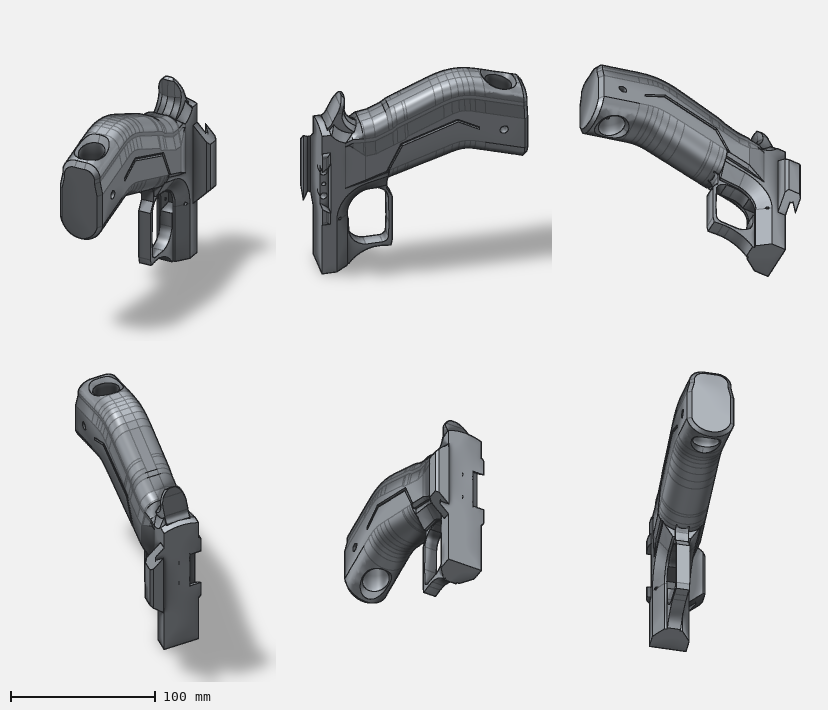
import math

import cadquery as cq


total_width = 42.25
total_length = 152.65
grip_half = 16.65
frame_half = 13.0
well_half = 6.4
guard_half = 4.64
horn_half = 8.8

hook_reach = 6.16
grip_end = total_length - hook_reach
grip_start = 16.6
frame_back = 47.2
ramp_end = 30.2

shoulder_half = 14.7
crown_half = 3.7
shoulder_band = 3.0
belly_bevel = 2.8
belly_half = 14.5
end_chamfer = 2.9
chin_depth = 4.5
front_rise = 9.5
front_drop = 2.6
chin_end = 29.0
flank_start = 19.5
neck_corner = 21.8
least_edge = 0.15

bore_diameter = 18.41
bore_depth = 128.9
rim_half_width = 15.0
rim_half_length = 12.2
rim_sink = 4.0
grip_pin_diameter = 5.84
grip_pin_height = 102.2
frame_pin_diameter = 2.0
frame_pin_depth = 13.2
frame_pin_height = 43.0
clamp_screw_diameter = 5.0
clamp_pilot_diameter = 3.0
clamp_hole_spacing = 10.0
clamp_hole_depth = 8.0

clamp_middle = 70.7
clamp_half_height = 30.2
clamp_plate = 5.9
hook_tip = total_width - grip_half
hook_throat_x = 20.35
hook_throat_depth = -2.0
hook_lead = 0.8
hook_edge_x = 16.1
hook_corner = 1.9
pad_half = 14.9
pad_flat_depth = 2.8
pad_round = 3.4
pad_root = 6.5
pad_gap_front = 15.6
pad_gap_back = 20.5

groove_depth = 0.8


def at(depth, height):
    """Point of the YZ sketch plane for a depth behind the front face."""
    return (-depth, height)


def side_sketch(x=0.0):
    return cq.Workplane("YZ", origin=(x, 0, 0))


def side_polygon(points, x=0.0):
    return side_sketch(x).polyline([at(*p) for p in points]).close()


def bend(depth, begin, end, height, rise, fall):
    """Height of a straight climb that rolls over parabolically into a straight descent."""
    if depth <= begin:
        return height + rise * (depth - begin)
    run = min(depth, end) - begin
    rolled = height + rise * run + (fall - rise) * run**2 / (2 * (end - begin))
    return rolled + fall * max(depth - end, 0.0)


def ramp(depth, begin, end):
    """Fraction that goes linearly from 0 to 1 between two depths."""
    return min(max((depth - begin) / (end - begin), 0.0), 1.0)


rear_fall = -0.333
upper_rise = 0.42
level_depth = 37.5
crown_step = 1.3
shoulder_step = 1.5
step_front = 50.0
crown_leveling = 0.5
side_leveling = 0.8


def leveling(depth):
    """How far the rising upper edges would drop below level ahead of the grip's knee."""
    return upper_rise * max(level_depth - depth, 0.0)


def crown_line(depth):
    step = crown_step * (1 - ramp(depth, frame_back, step_front))
    chin = chin_depth * (1 - ramp(depth, neck_corner, chin_end))
    chin += front_drop * (1 - ramp(depth, grip_start, neck_corner))
    lift = crown_leveling * leveling(depth)
    return bend(depth, 80.6, 115.8, 138.01, upper_rise, rear_fall) - step - chin + lift


def shoulder_line(depth):
    step = shoulder_step * (1 - ramp(depth, step_front, 53.1))
    step += front_drop * (1 - ramp(depth, grip_start, neck_corner))
    return bend(depth, 86.2, 110.0, 131.3, upper_rise, rear_fall) - step + leveling(depth)


def side_top_line(depth):
    step = shoulder_step * (1 - ramp(depth, 58.6, 60.4))
    lift = front_rise * (1 - ramp(depth, flank_start, ramp_end)) + side_leveling * leveling(depth)
    line = bend(depth, 92.0, 105.0, 121.2, upper_rise, rear_fall) - step + lift
    return min(line, shoulder_line(depth) - shoulder_band - least_edge)


def side_bottom_line(depth):
    return bend(depth, 92.1, 108.9, 96.2, 0.323, rear_fall)


def belly_line(depth):
    return bend(depth, 94.4, 109.2, 82.3, 0.305, rear_fall)


def grip_section(depth, rounded_belly, inset=0.0):
    """Closed cross-section of the grip at one depth."""
    spread = ramp(depth, grip_start, ramp_end)
    side = frame_half + (grip_half - frame_half) * spread - inset
    shoulder = frame_half + (shoulder_half - frame_half) * spread - inset
    edge = shoulder_line(depth)
    crown = crown_line(depth) - inset
    side_top = side_top_line(depth)
    bevel_bottom = side_bottom_line(depth) - belly_bevel
    side_bottom = bevel_bottom + max(belly_bevel * spread, least_edge)
    arc_x = crown_half + (shoulder - crown_half) * math.sqrt(0.5)
    arc_z = edge + (crown - edge) * math.sqrt(0.5)
    sketch = (
        cq.Workplane("XZ", origin=(0, -depth, 0))
        .moveTo(-crown_half, crown)
        .lineTo(crown_half, crown)
        .threePointArc((arc_x, arc_z), (shoulder, edge))
        .lineTo(shoulder, edge - shoulder_band)
        .lineTo(side, side_top)
        .lineTo(side, side_bottom)
    )
    if rounded_belly:
        sketch = sketch.threePointArc((0, belly_line(depth) + inset), (-side, side_bottom))
    else:
        bevel_half = frame_half + (belly_half - frame_half) * spread
        sketch = (
            sketch.lineTo(bevel_half, bevel_bottom)
            .lineTo(-bevel_half, bevel_bottom)
            .lineTo(-side, side_bottom)
        )
    return (
        sketch.lineTo(-side, side_top)
        .lineTo(-shoulder, edge - shoulder_band)
        .lineTo(-shoulder, edge)
        .threePointArc((-arc_x, arc_z), (-crown_half, crown))
        .close()
        .val()
    )


def grip():
    front_depths = [grip_start, flank_start, neck_corner, chin_end, ramp_end, level_depth, frame_back]
    rear_depths = [frame_back, step_front, 53.1, 58.6, 60.4, 80.6, 86.2, 92.0, 97.0, 101.0, 105.0]
    rear_depths += [108.7, 115.8]
    front = [grip_section(d, False) for d in front_depths]
    rear = [grip_section(d, True) for d in rear_depths + [grip_end - end_chamfer]]
    rear.append(grip_section(grip_end, True, end_chamfer))
    front_solid = cq.Solid.makeLoft(front, True)
    rear_solid = cq.Solid.makeLoft(rear, True)
    return cq.Workplane(front_solid).union(cq.Workplane(rear_solid))


frame_shoulder = 115.2
frame_crown = 118.0
well_top = 82.0
neck_bottom = 75.0
well_bend = 42.6
well_back = 19.8
neck_front = 6.2
horn_tip = 140.1


def well_outline(x, front, arc_start, arc_middle, arc_end, back):
    """Front part of the frame down to its foot, ending at the arch over the trigger."""
    return (
        side_sketch(x)
        .moveTo(0, 0)
        .lineTo(*at(front, 0))
        .lineTo(*at(front, arc_start))
        .threePointArc(at(*arc_middle), at(*arc_end))
        .lineTo(*at(frame_back, back))
        .lineTo(*at(frame_back, well_top))
        .lineTo(0, well_top)
        .close()
    )


def outer_well(x):
    return well_outline(x, 10.6, well_bend, (16.3, 60.5), (31.5, 70.6), 74.3)


def inner_well(x):
    return well_outline(x, well_back, well_bend, (24.0, 55.3), (32.8, 61.0), 62.3)


def neck_outline(x, front_top, arc_start, arc_middle, arc_end):
    """Top of the frame, cut away behind by the sweep up to the horn."""
    return (
        side_sketch(x)
        .moveTo(0, neck_bottom)
        .lineTo(*at(arc_end[0], neck_bottom))
        .lineTo(*at(*arc_end))
        .threePointArc(at(*arc_middle), at(*arc_start))
        .lineTo(*at(neck_front, front_top))
        .lineTo(0, front_top)
        .close()
    )


def outer_neck(x):
    return neck_outline(x, frame_shoulder, (7.0, 114.4), (12.1, 109.2), (20.0, 106.3))


def inner_neck(x):
    return neck_outline(x, 116.6, (9.4, 120.7), (14.9, 114.8), (22.3, 111.5))


def both_sides(half):
    return half.union(half.mirror("YZ"))


def flared(outer, inner, inner_half):
    """Full-width core with its edges sloping out to a larger, narrower outline."""
    core = outer(0).extrude(frame_half)
    slope = cq.Solid.makeLoft([inner(inner_half).val(), outer(frame_half).val()], True)
    spine = inner(0).extrude(inner_half)
    return both_sides(core.union(cq.Workplane(slope)).union(spine))


def frame():
    arched_top = (
        cq.Workplane("XZ")
        .moveTo(-frame_half, 100.0)
        .lineTo(frame_half, 100.0)
        .lineTo(frame_half, frame_shoulder)
        .threePointArc((0, frame_crown), (-frame_half, frame_shoulder))
        .close()
        .extrude(neck_front)
    )
    lower = flared(outer_well, inner_well, well_half)
    upper = flared(outer_neck, inner_neck, horn_half)
    return lower.union(upper).union(arched_top)


def horn_outline(x, forward):
    """Side outline of the horn with its hollow rear moved forward."""
    return (
        side_sketch(x)
        .moveTo(*at(4.8, 104.0))
        .lineTo(*at(4.8, 117.9))
        .threePointArc(at(6.8, 119.6), at(8.5, 122.6))
        .lineTo(*at(14.4, 134.5))
        .lineTo(*at(16.3, horn_tip))
        .lineTo(*at(18.6 - 0.5 * forward, 138.2))
        .lineTo(*at(18.9 - forward, 125.8))
        .threePointArc(at(22.3 - forward, 119.2 - 0.5 * forward), at(29.6 - forward, 115.0 - forward))
        .lineTo(*at(29.6 - forward, 104.0))
        .close()
        .val()
    )


def horn():
    shoulder = 127.0
    tip_half = 2.4
    edge_forward = 3.7
    middle_half = 5.0
    middle_forward = edge_forward * (middle_half / horn_half) ** 2
    halves = [(0.0, 0.0), (middle_half, middle_forward), (horn_half, edge_forward)]
    half = cq.Workplane(cq.Solid.makeLoft([horn_outline(x, f) for x, f in halves], True))
    leaf = (
        cq.Workplane("XZ")
        .moveTo(-horn_half, 0)
        .lineTo(horn_half, 0)
        .lineTo(horn_half, shoulder)
        .threePointArc((6.8, 135.5), (tip_half, horn_tip))
        .lineTo(-tip_half, horn_tip)
        .threePointArc((-6.8, 135.5), (-horn_half, shoulder))
        .close()
        .extrude(frame_back)
    )
    return both_sides(half).intersect(leaf)


def guard():
    outline = (
        side_sketch(-guard_half)
        .moveTo(*at(15.0, 0))
        .lineTo(*at(21.3, 0))
        .threePointArc(at(28.6, 7.0), at(39.0, 11.0))
        .lineTo(*at(44.3, 11.1))
        .lineTo(*at(51.2, 10.3))
        .lineTo(*at(52.2, 15.0))
        .lineTo(*at(52.2, 51.0))
        .lineTo(*at(48.2, 58.2))
        .lineTo(*at(48.2, 66.0))
        .threePointArc(at(49.0, 68.0), at(51.4, 69.6))
        .lineTo(*at(51.4, 78.0))
        .lineTo(*at(15.0, 78.0))
        .close()
    )
    return outline.extrude(2 * guard_half)


def guard_opening():
    """Finger opening through the full width of the frame."""
    return (
        side_sketch(-frame_half)
        .moveTo(*at(well_back, 38.5))
        .lineTo(*at(well_back, well_bend))
        .threePointArc(at(25.0, 55.9), at(35.0, 60.0))
        .lineTo(*at(41.6, 60.0))
        .threePointArc(at(47.2, 56.2), at(49.4, 49.9))
        .lineTo(*at(49.8, 30.0))
        .lineTo(*at(49.4, 18.0))
        .threePointArc(at(48.2, 15.4), at(45.2, 14.1))
        .lineTo(*at(33.3, 14.1))
        .threePointArc(at(24.6, 19.0), at(21.2, 27.0))
        .lineTo(*at(20.9, 38.0))
        .close()
        .extrude(2 * frame_half)
    )


def trigger_slot():
    """Slot that opens forward from the finger opening around the frame pin."""
    profile = [(9.0, 39.0), (24.0, 37.0), (24.0, 55.0), (9.0, 55.0)]
    return side_polygon(profile, -guard_half).extrude(2 * guard_half)


def hook():
    points = [
        (0, 0),
        (hook_throat_x - hook_lead, 0),
        (hook_throat_x, -hook_throat_depth),
        (hook_edge_x, hook_reach),
        (hook_tip - hook_corner, hook_reach),
        (hook_tip, hook_reach - hook_corner),
        (hook_tip, hook_corner - clamp_plate),
        (hook_tip - hook_corner, -clamp_plate),
        (0, -clamp_plate),
    ]
    bar = (
        cq.Workplane("XY", origin=(0, 0, clamp_middle - clamp_half_height))
        .polyline(points)
        .close()
        .extrude(2 * clamp_half_height)
    )
    tip_half_height = clamp_half_height - (hook_tip - frame_half)
    flank = [
        (0, clamp_middle - clamp_half_height),
        (frame_half, clamp_middle - clamp_half_height),
        (hook_tip, clamp_middle - tip_half_height),
        (hook_tip, clamp_middle + tip_half_height),
        (frame_half, clamp_middle + clamp_half_height),
        (0, clamp_middle + clamp_half_height),
    ]
    limits = cq.Workplane("XZ").polyline(flank).close().extrude(hook_reach + clamp_plate, both=True)
    return bar.intersect(limits)


def pads():
    """Rounded block on the -X side that the clamp channel divides into two pads."""
    block_depth = pad_flat_depth + pad_round
    block_height = 2 * clamp_half_height
    block = (
        cq.Workplane("XY")
        .box(pad_half - pad_root, block_depth, block_height, centered=(False, False, True))
        .translate((-pad_half, -block_depth, clamp_middle))
    )
    return block.faces("<X").edges("not >Y").fillet(pad_round)


def clamp_channel():
    """Recess that divides the pads, with slanted end walls."""
    block_depth = pad_flat_depth + pad_round
    gap = [
        (0, clamp_middle - pad_gap_front),
        (block_depth, clamp_middle - pad_gap_back),
        (block_depth, clamp_middle + pad_gap_back),
        (0, clamp_middle + pad_gap_front),
    ]
    return side_polygon(gap, -pad_half).extrude(pad_half - pad_root)


def cross_hole(depth, height, diameter, length, x):
    return side_sketch(x).center(*at(depth, height)).circle(diameter / 2).extrude(length)


def clamp_holes():
    cut = cq.Workplane()
    diameters = [clamp_screw_diameter, clamp_pilot_diameter, clamp_screw_diameter]
    for index, diameter in enumerate(diameters):
        height = clamp_middle + (index - 1) * clamp_hole_spacing
        cut = cut.add(cross_hole(pad_flat_depth, height, diameter, clamp_hole_depth, -pad_root))
    return cut.combine()


def through_pins():
    length = 2 * grip_half
    grip_pin = cross_hole(bore_depth, grip_pin_height, grip_pin_diameter, length, -grip_half)
    frame_pin = cross_hole(frame_pin_depth, frame_pin_height, frame_pin_diameter, length, -grip_half)
    return grip_pin.union(frame_pin)


def tilted_ellipse(height, half_width, half_length):
    """Ellipse on the bore axis, in a plane that falls backwards like the rear of the grip."""
    plane = cq.Plane((0, -bore_depth, height), (1, 0, 0), (0, rear_fall, 1))
    stretch = math.hypot(1, rear_fall)
    return cq.Workplane(plane).ellipse(half_width, half_length * stretch).val()


def bore_rim(surface_height, outward):
    """Flared mouth of the bore; outward is +1 for the upper mouth and -1 for the lower one."""
    radius = bore_diameter / 2
    growth = 2.0
    inner = tilted_ellipse(surface_height - outward * rim_sink, radius, radius)
    outer = tilted_ellipse(
        surface_height + outward * rim_sink * (growth - 1),
        radius + growth * (rim_half_width - radius),
        radius + growth * (rim_half_length - radius),
    )
    return cq.Workplane(cq.Solid.makeLoft([inner, outer], True))


def bore():
    """Vertical bore through the rear of the grip with a flared rim at each mouth."""
    shaft = cq.Workplane("XY").center(0, -bore_depth).circle(bore_diameter / 2).extrude(total_length)
    upper = bore_rim(crown_line(bore_depth), 1)
    lower = bore_rim(belly_line(bore_depth), -1)
    return shaft.union(upper).union(lower)


def side_groove():
    """V groove that frames the side panel, on both sides."""
    upper = [(45.2, 81.2), (55.4, 102.6), (95.8, 116.3), (111.3, 107.4)]
    lower = [(47.0, 81.7), (56.4, 100.5), (96.2, 114.0), (111.3, 105.3)]
    floor_gap = 0.15
    middle = [((a[0] + b[0]) / 2, (a[1] + b[1]) / 2) for a, b in zip(upper, lower)]
    floor_top = [(d, h + floor_gap) for d, h in middle]
    floor_bottom = [(d, h - floor_gap) for d, h in middle]
    mouth_wire = side_polygon(upper + lower[::-1], grip_half).val()
    floor_wire = side_polygon(floor_top + floor_bottom[::-1], grip_half - groove_depth).val()
    return both_sides(cq.Workplane(cq.Solid.makeLoft([floor_wire, mouth_wire], True)))


body = frame().union(guard()).cut(guard_opening()).cut(trigger_slot())
body = body.union(grip()).union(horn()).union(hook()).union(pads())
body = body.cut(clamp_channel()).cut(clamp_holes())
result = body.cut(bore()).cut(through_pins()).cut(side_groove())